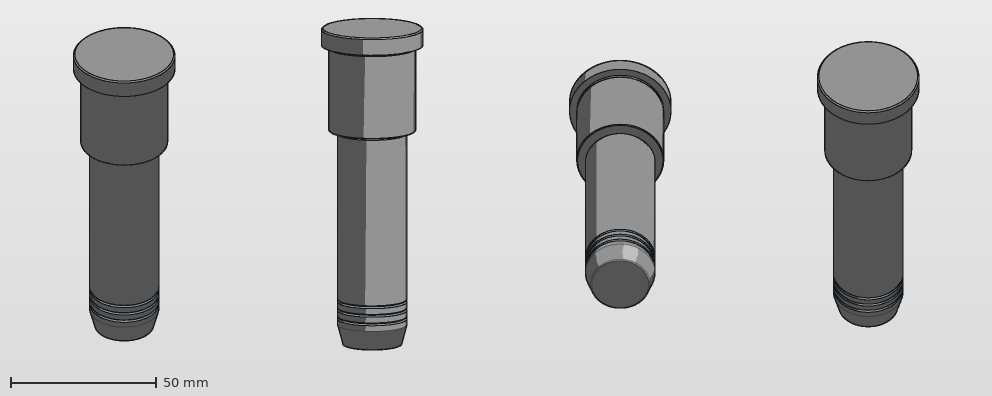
import cadquery as cq
import math

length = 111.0

head_radius = 35.0 / 2
head_height = 6.0
head_chamfer = 0.5

sleeve_radius = 15.0
sleeve_bottom = length - 36.0
sleeve_chamfer = 0.3

shaft_radius = 12.0

undercut_height = 1.0
head_undercut_depth = 0.3
shaft_undercut_depth = 0.7

tip_height = 7.0
tip_angle = 15.0
tip_rounding = 0.5

groove_count = 3
groove_pitch = 3.0
groove_height = 1.0
groove_depth = 0.4
groove_top_height = 0.4
first_groove_bottom = 9.0

head_bottom = length - head_height
tip_radius = shaft_radius - tip_height * math.tan(math.radians(tip_angle))


def make_body():
    """Revolve the stepped pin, including its two undercuts."""
    head_undercut_radius = sleeve_radius - head_undercut_depth
    sleeve_top = head_bottom - undercut_height
    shaft_undercut_radius = shaft_radius - shaft_undercut_depth
    shaft_top = sleeve_bottom - undercut_height
    profile = [
        (0, 0),
        (tip_radius, 0),
        (shaft_radius, tip_height),
        (shaft_radius, shaft_top),
        (shaft_undercut_radius, sleeve_bottom),
        (sleeve_radius - sleeve_chamfer, sleeve_bottom),
        (sleeve_radius, sleeve_bottom + sleeve_chamfer),
        (sleeve_radius, sleeve_top),
        (head_undercut_radius, sleeve_top + head_undercut_depth),
        (sleeve_radius, head_bottom),
        (head_radius, head_bottom),
        (head_radius, length - head_chamfer),
        (head_radius - head_chamfer, length),
        (0, length),
    ]
    body = cq.Workplane("XZ").polyline(profile).close().revolve(360, (0, 0), (0, 1))
    return body.faces("<Z").edges().fillet(tip_rounding)


def make_groove(bottom):
    """Ring cutter with a triangular section pointing at the axis."""
    top = bottom + groove_height
    section = [
        (shaft_radius, bottom),
        (shaft_radius - groove_depth, top - groove_top_height),
        (shaft_radius, top),
    ]
    return cq.Workplane("XZ").polyline(section).close().revolve(360, (0, 0), (0, 1))


result = make_body()
for index in range(groove_count):
    result = result.cut(make_groove(first_groove_bottom + index * groove_pitch))